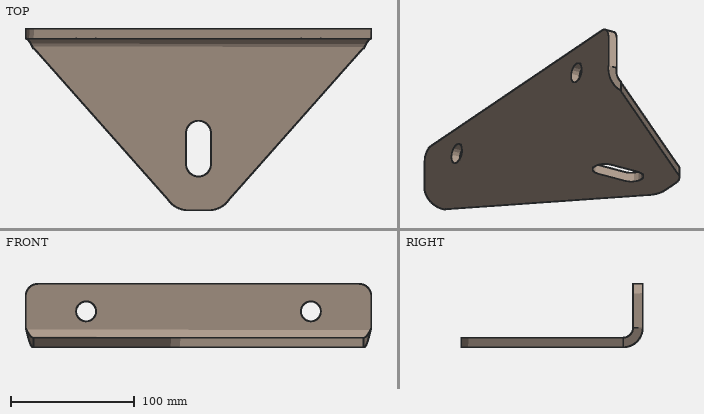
import cadquery as cq
import math

width = 280.0
depth = 147.09
height = 51.58
thickness = 8.0
bend_inner_radius = 8.0
bend_outer_radius = bend_inner_radius + thickness
bend_centre_y = -bend_outer_radius
bend_centre_z = bend_outer_radius

flange_corner_radius = 10.0
hole_diameter = 16.0
hole_spacing = 182.0
hole_below_top = 22.4

bend_taper = 6.0
plate_step = 0.8
bend_front_half_width = width / 2 - bend_taper
plate_back_half_width = bend_front_half_width - plate_step
nose_radius = 20.0
nose_half_width = 25.0
nose_length = 9.0
slot_width = 20.0
slot_length = 45.0
slot_centre_from_tip = 50.0

cut_margin = 2.0


def make_flange():
    straight_height = height - bend_outer_radius
    flange = (
        cq.Workplane("XY")
        .box(width, thickness, straight_height, centered=(True, True, False))
        .translate((0, -thickness / 2, bend_outer_radius))
        .edges("|Y and >Z")
        .fillet(flange_corner_radius)
    )
    hole_z = height - hole_below_top
    hole_centres = [(-hole_spacing / 2, hole_z), (hole_spacing / 2, hole_z)]
    holes = (
        cq.Workplane("XZ", origin=(0, cut_margin, 0))
        .pushPoints(hole_centres)
        .circle(hole_diameter / 2)
        .extrude(thickness + 2 * cut_margin)
    )
    return flange.cut(holes)


def make_plate():
    tip_y = -depth
    nose_y = tip_y + nose_length
    nose_angle = math.acos(1 - nose_length / nose_radius)
    tip_half_width = nose_half_width - nose_radius * math.sin(nose_angle)
    arc_mid_x = tip_half_width + nose_radius * math.sin(nose_angle / 2)
    arc_mid_y = tip_y + nose_radius * (1 - math.cos(nose_angle / 2))
    plate = (
        cq.Workplane("XY")
        .moveTo(-plate_back_half_width, bend_centre_y)
        .lineTo(-nose_half_width, nose_y)
        .threePointArc((-arc_mid_x, arc_mid_y), (-tip_half_width, tip_y))
        .lineTo(tip_half_width, tip_y)
        .threePointArc((arc_mid_x, arc_mid_y), (nose_half_width, nose_y))
        .lineTo(plate_back_half_width, bend_centre_y)
        .close()
        .extrude(thickness)
    )
    slot = (
        cq.Workplane("XY", origin=(0, tip_y + slot_centre_from_tip, 0))
        .slot2D(slot_length, slot_width, 90)
        .extrude(thickness)
    )
    return plate.cut(slot)


def make_bend_end_cutter():
    """Helical body that trims the +X end of the bend, tapering evenly with the bend angle."""
    inner = bend_inner_radius - cut_margin
    outer = bend_outer_radius + cut_margin
    middle = (inner + outer) / 2
    cutter_length = bend_taper + cut_margin
    path = cq.Wire.makeHelix(4 * bend_taper, bend_taper, middle)
    cutter = (
        cq.Workplane("XZ")
        .moveTo(middle, cutter_length / 2)
        .rect(outer - inner, cutter_length)
        .sweep(cq.Workplane(path), isFrenet=True)
    )
    bend_plane = cq.Plane(
        origin=(bend_front_half_width, bend_centre_y, bend_centre_z),
        xDir=(0, 0, -1),
        normal=(1, 0, 0),
    )
    return cutter.val().moved(cq.Location(bend_plane))


def make_bend():
    ring = (
        cq.Workplane("YZ", origin=(-width / 2, bend_centre_y, bend_centre_z))
        .circle(bend_outer_radius)
        .circle(bend_inner_radius)
        .extrude(width)
    )
    quarter = cq.Workplane("XY").box(
        width, bend_outer_radius, bend_outer_radius, centered=(True, False, False)
    ).translate((0, bend_centre_y, 0))
    cutter = cq.Workplane(make_bend_end_cutter())
    return ring.intersect(quarter).cut(cutter).cut(cutter.mirror("YZ"))


result = make_plate().union(make_bend()).union(make_flange())